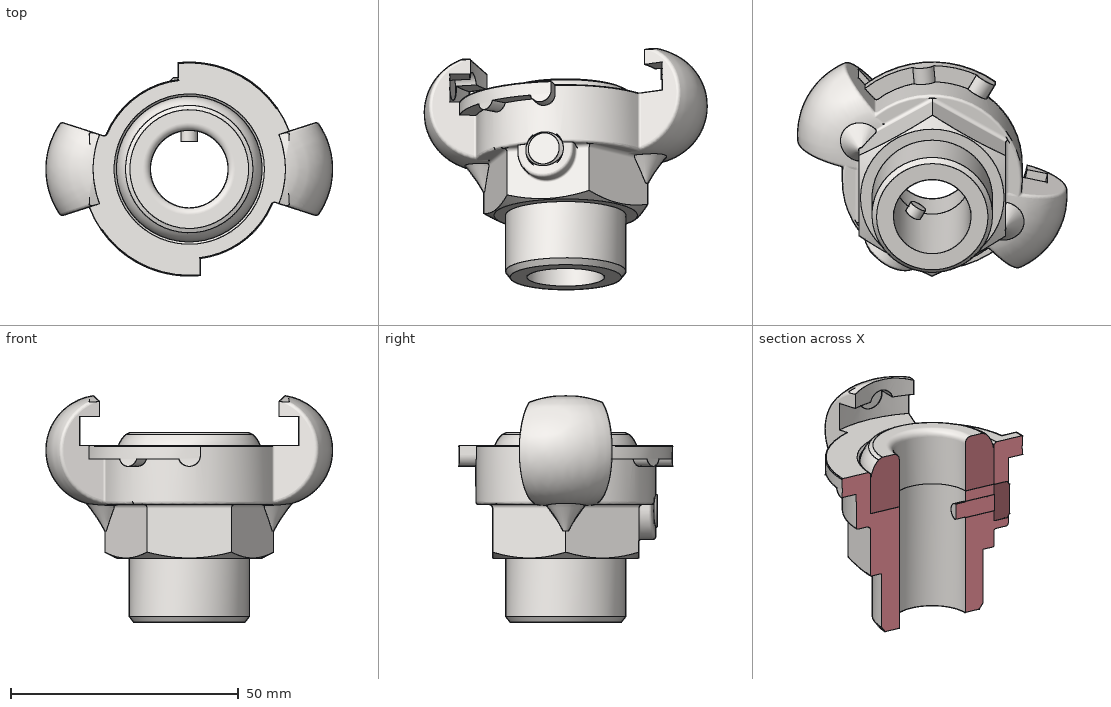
import cadquery as cq
import math

select_margin = 0.05

bore_dia = 17.0
stem_dia = 26.45
stem_chamfer_height = 1.3
stem_chamfer_width = 1.0
hex_flats = 32.1
hex_bottom_z = 14.0
hex_chamfer_radius = 15.75
hex_chamfer_height = 1.45
hex_corner_radius = hex_flats / math.sqrt(3)

head_radius = 19.8
head_bottom_z = 25.9
head_bottom_fillet = 0.6
neck_fillet = 0.9
flange_top_z = 38.9
rim_fillet = 0.2

lug_radius = 23.5
lug_thickness = 2.95
lug_end_offset = 2.45
lug_bottom_z = flange_top_z - lug_thickness
ridge_radius = lug_end_offset
ridge_axis_z = 36.7
ridge_angles = [0.0, 35.0]

claw_reach = 31.5
claw_arc_radius = 12.1
claw_arc_z = 37.8
claw_plan_radius = 17.5
claw_axis_x = claw_reach - claw_plan_radius
claw_side_angle = 18.0
claw_side_offset = 1.2
claw_edge_fillet = 0.75
claw_root_fillet = 0.5
claw_arch_top_z = 49.85
claw_arch_radius = 22.7
slot_radius = 25.65
slot_top_z = 45.2
tip_radius = 21.1
detent_radius = 2.95
detent_axis_drop = 0.8

gusset_axis_x = 17.95
gusset_tip_z = 20.1
gusset_tip_radius = 0.6
gusset_mid_z = 23.1
gusset_mid_radius = 2.4
gusset_top_z = 27.2
gusset_top_radius = 5.7

recess_dia = 32.0
recess_chamfer = 0.5
recess_floor_z = 29.0
seal_top_z = 41.7
seal_lip_radius = 1.6
seal_flat_radius = 13.05
seal_dome_start_radius = 14.0
seal_dome_start_z = 41.25
seal_dome_radius = 6.3

plug_z = 24.5
boss_radius = 6.3
boss_edge_fillet = 0.6
boss_root_fillet = 0.45
plug_dia = 8.5
plug_face_y = 20.1
plug_chamfer = 0.75
plug_inner_y = 16.05
pin_dia = 3.7
pin_tip_y = 6.05


def upright_cylinder(radius, bottom_z, top_z):
    return cq.Workplane("XY").workplane(offset=bottom_z).circle(radius).extrude(top_z - bottom_z)


def y_cylinder(radius, y_start, y_end, z):
    """Cylinder along +Y, centred on x = 0."""
    plane = cq.Plane(origin=(0, y_start, z), xDir=(1, 0, 0), normal=(0, 1, 0))
    return cq.Workplane(plane).circle(radius).extrude(y_end - y_start)


def half_turn(shape):
    return shape.rotate((0, 0, 0), (0, 0, 1), 180)


def make_stem():
    stem_radius = stem_dia / 2
    return (
        cq.Workplane("XZ")
        .lineTo(stem_radius - stem_chamfer_width, 0)
        .lineTo(stem_radius, stem_chamfer_height)
        .lineTo(stem_radius, hex_bottom_z)
        .lineTo(0, hex_bottom_z)
        .close()
        .revolve(360, (0, 0), (0, 1))
    )


def make_hexagon():
    """Hexagon up to the underside of the head, with its lower corners chamfered."""
    prism = (
        cq.Workplane("XY")
        .workplane(offset=hex_bottom_z)
        .polygon(6, 2 * hex_corner_radius)
        .extrude(head_bottom_z - hex_bottom_z)
    )
    chamfer_envelope = (
        cq.Workplane("XZ")
        .moveTo(0, hex_bottom_z)
        .lineTo(hex_chamfer_radius, hex_bottom_z)
        .lineTo(hex_corner_radius, hex_bottom_z + hex_chamfer_height)
        .lineTo(hex_corner_radius, head_bottom_z)
        .lineTo(0, head_bottom_z)
        .close()
        .revolve(360, (0, 0), (0, 1))
    )
    return prism.intersect(chamfer_envelope)


def make_necked_head():
    """Hexagon and head, with the neck between them filleted."""
    plate = upright_cylinder(head_radius + 2 * neck_fillet, head_bottom_z, flange_top_z)
    reach = hex_corner_radius + select_margin
    neck = cq.selectors.BoxSelector(
        (-reach, -reach, head_bottom_z - select_margin), (reach, reach, head_bottom_z + select_margin)
    )
    necked = make_hexagon().union(plate).edges(neck).fillet(neck_fillet)

    head = upright_cylinder(head_radius, head_bottom_z, flange_top_z)
    head = head.faces("<Z").edges().fillet(head_bottom_fillet)
    head = head.faces(">Z").edges().fillet(rim_fillet)
    below_head = upright_cylinder(head_radius - head_bottom_fillet, hex_bottom_z, head_bottom_z)
    return necked.intersect(head.union(below_head))


def make_bossed_hexagon():
    """Hexagon with the plug boss on its +Y flat, filleted where they join."""
    boss_root = cq.selectors.BoxSelector(
        (-boss_radius - select_margin, hex_flats / 2 - select_margin, hex_bottom_z + boss_radius / 2),
        (boss_radius + select_margin, hex_flats / 2 + select_margin, head_bottom_z),
    )
    return make_hexagon().union(make_boss()).edges(boss_root).fillet(boss_root_fillet)


def make_boss():
    """U-shaped boss: half-round below the plug axis, straight up into the head."""
    lower = y_cylinder(boss_radius, 0, lug_radius, plug_z)
    upper = (
        cq.Workplane("XY")
        .workplane(offset=plug_z)
        .center(0, lug_radius / 2)
        .rect(2 * boss_radius, lug_radius)
        .extrude(boss_radius)
    )
    envelope = upright_cylinder(head_radius, plug_z - boss_radius, head_bottom_z)
    boss = lower.union(upper).intersect(envelope)
    outer_rim = cq.selectors.BoxSelector(
        (-boss_radius - select_margin, hex_flats / 2 + boss_edge_fillet, 0),
        (boss_radius + select_margin, lug_radius, head_bottom_z - select_margin),
    )
    return boss.edges(outer_rim).fillet(boss_edge_fillet)


def make_lug():
    """Lug on the -X, -Y side, with half-round ridges; the last ridge rounds off its end."""
    overshoot = lug_radius + ridge_radius
    lug = upright_cylinder(overshoot, lug_bottom_z, flange_top_z)
    for angle in ridge_angles:
        ridge = y_cylinder(ridge_radius, -overshoot, -head_radius / 2, ridge_axis_z)
        lug = lug.union(ridge.rotate((0, 0, 0), (0, 0, 1), -angle))

    ridge_bottom_z = ridge_axis_z - ridge_radius
    rim = upright_cylinder(lug_radius, ridge_bottom_z, flange_top_z)
    quarter = (
        cq.Workplane("XZ")
        .moveTo(-lug_radius, ridge_bottom_z)
        .lineTo(0, ridge_bottom_z)
        .radiusArc((lug_end_offset, ridge_axis_z), -ridge_radius)
        .lineTo(lug_end_offset, flange_top_z)
        .lineTo(-lug_radius, flange_top_z)
        .close()
        .extrude(lug_radius)
    )
    lug = lug.intersect(rim).intersect(quarter)
    return lug.faces(">Z").edges().fillet(rim_fillet)


def make_claw():
    """Claw on the +X side, with its hook slot and its gusset."""
    arc_centre = claw_plan_radius - claw_arc_radius
    bulb = (
        cq.Workplane("XZ")
        .moveTo(0, claw_arc_z - claw_arc_radius)
        .lineTo(arc_centre, claw_arc_z - claw_arc_radius)
        .threePointArc((claw_plan_radius, claw_arc_z), (arc_centre, claw_arc_z + claw_arc_radius))
        .lineTo(0, claw_arc_z + claw_arc_radius)
        .close()
        .revolve(360, (0, 0), (0, 1))
        .translate((claw_axis_x, 0, 0))
    )
    side_slope = math.tan(math.radians(claw_side_angle))
    inner_half_width = claw_side_offset + side_slope * claw_axis_x
    outer_half_width = claw_side_offset + side_slope * claw_reach
    wedge = (
        cq.Workplane("XY")
        .moveTo(claw_axis_x, -inner_half_width)
        .lineTo(claw_reach, -outer_half_width)
        .lineTo(claw_reach, outer_half_width)
        .lineTo(claw_axis_x, inner_half_width)
        .close()
        .extrude(2 * claw_arch_top_z)
    )
    claw = bulb.intersect(wedge)
    rounded_edges = cq.selectors.BoxSelector(
        (claw_axis_x + select_margin, -claw_reach, 0), (claw_reach, claw_reach, 2 * claw_arch_top_z)
    )
    claw = claw.edges(rounded_edges).fillet(claw_edge_fillet)

    arch = (
        cq.Workplane("YZ")
        .center(0, claw_arch_top_z - claw_arch_radius)
        .circle(claw_arch_radius)
        .extrude(2 * claw_reach)
    )
    claw = claw.intersect(arch)
    claw = claw.cut(upright_cylinder(slot_radius, flange_top_z, slot_top_z))
    detent = cq.Workplane("YZ").center(0, slot_top_z - detent_axis_drop).circle(detent_radius)
    claw = claw.cut(detent.extrude(slot_radius))
    claw = claw.cut(upright_cylinder(tip_radius, slot_top_z, 2 * claw_arch_top_z))
    return claw.union(make_gusset())


def make_gusset():
    return (
        cq.Workplane("XZ")
        .moveTo(0, gusset_tip_z)
        .lineTo(gusset_tip_radius, gusset_tip_z)
        .threePointArc((gusset_mid_radius, gusset_mid_z), (gusset_top_radius, gusset_top_z))
        .lineTo(0, gusset_top_z)
        .close()
        .revolve(360, (0, 0), (0, 1))
        .translate((gusset_axis_x, 0, 0))
    )


def fillet_claw_roots(housing):
    """Round the upright corners where the claw sides leave the head."""
    around_head = cq.selectors.BoxSelector(
        (-head_radius, -head_radius, head_bottom_z), (head_radius, head_radius, flange_top_z)
    )
    return housing.edges("|Z").edges(around_head).fillet(claw_root_fillet)


def make_seal_recess():
    """Recess with a bevelled mouth."""
    radius = recess_dia / 2
    return (
        cq.Workplane("XZ")
        .moveTo(0, recess_floor_z)
        .lineTo(radius, recess_floor_z)
        .lineTo(radius, flange_top_z - recess_chamfer)
        .lineTo(radius + recess_chamfer, flange_top_z)
        .lineTo(0, flange_top_z)
        .close()
        .revolve(360, (0, 0), (0, 1))
    )


def make_housing():
    housing = make_stem().union(make_necked_head()).union(make_bossed_hexagon())
    claw = make_claw()
    housing = housing.union(claw).union(half_turn(claw))
    housing = fillet_claw_roots(housing)
    lug = make_lug()
    housing = housing.union(lug).union(half_turn(lug))
    housing = housing.cut(upright_cylinder(bore_dia / 2, 0, flange_top_z))
    return housing.cut(make_seal_recess()).cut(make_plug()).cut(make_pin())


def make_seal():
    outer_radius = recess_dia / 2
    dome_centre_r = outer_radius - seal_dome_radius
    dome_rise = math.sqrt(seal_dome_radius**2 - (seal_dome_start_radius - dome_centre_r) ** 2)
    dome_centre_z = seal_dome_start_z - dome_rise
    mid_angle = math.atan2(dome_rise, seal_dome_start_radius - dome_centre_r) / 2
    dome_mid = (
        dome_centre_r + seal_dome_radius * math.cos(mid_angle),
        dome_centre_z + seal_dome_radius * math.sin(mid_angle),
    )
    inner_radius = bore_dia / 2
    lip_mid_inset = seal_lip_radius * (1 - math.sqrt(0.5))
    return (
        cq.Workplane("XZ")
        .moveTo(inner_radius, recess_floor_z)
        .lineTo(outer_radius, recess_floor_z)
        .lineTo(outer_radius, dome_centre_z)
        .threePointArc(dome_mid, (seal_dome_start_radius, seal_dome_start_z))
        .lineTo(seal_flat_radius, seal_top_z)
        .lineTo(inner_radius + seal_lip_radius, seal_top_z)
        .threePointArc(
            (inner_radius + lip_mid_inset, seal_top_z - lip_mid_inset),
            (inner_radius, seal_top_z - seal_lip_radius),
        )
        .close()
        .revolve(360, (0, 0), (0, 1))
    )


def make_plug():
    plug = y_cylinder(plug_dia / 2, plug_inner_y, plug_face_y, plug_z)
    return plug.faces(">Y").edges().chamfer(plug_chamfer)


def make_pin():
    return y_cylinder(pin_dia / 2, pin_tip_y, plug_inner_y, plug_z)


housing = make_housing()
seal = make_seal()
plug = make_plug()
pin = make_pin()

result = cq.Compound.makeCompound([housing.val(), seal.val(), plug.val(), pin.val()])